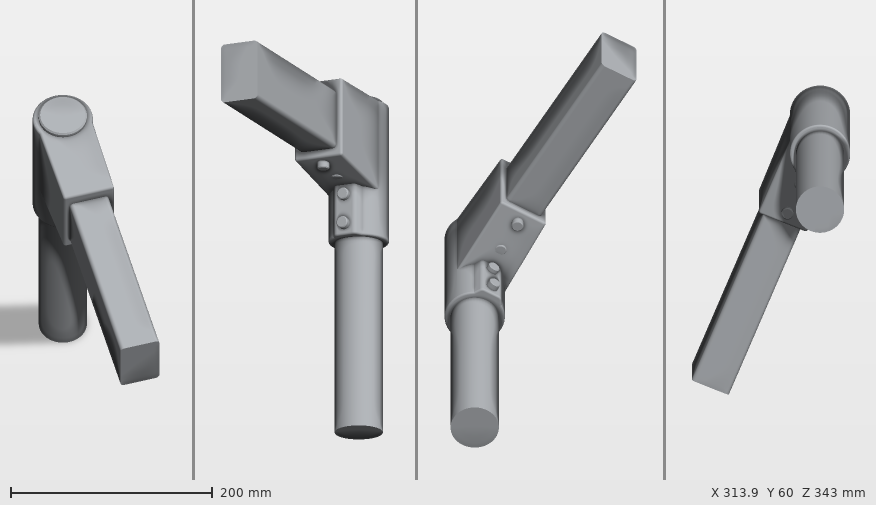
import cadquery as cq
import math

post_diameter = 48
cap_top_diameter = 45
cap_height = 5
total_height = 343
post_height = total_height - cap_height

arm_length = 250
arm_depth = 60
arm_width = 40
arm_corner_radius = 4
arm_end_x = 283.9
arm_start_x = arm_end_x - arm_length
arm_bottom_z = 266
arm_center_z = arm_bottom_z + arm_depth / 2

sleeve_diameter = 60
sleeve_height = 142
sleeve_radius = sleeve_diameter / 2
bracket_top_z = post_height
bracket_bottom_z = bracket_top_z - sleeve_height
bracket_edge_radius = 2.5
sleeve_bottom_radius = 2
block_end_x = 96.7
block_end_half_width = 26
block_side_angle = 0.9
block_axis_half_width = block_end_half_width + block_end_x * math.tan(math.radians(block_side_angle))
block_end_bottom_z = 258.3
block_bottom_angle = 9.5
block_axis_bottom_z = block_end_bottom_z - block_end_x * math.tan(math.radians(block_bottom_angle))
pad_root_x = 25.6
pad_root_half_width = math.sqrt(sleeve_radius**2 - pad_root_x**2)
pad_face_x = 33.7
pad_side_angle = 30
pad_face_half_width = pad_root_half_width - (pad_face_x - pad_root_x) * math.tan(math.radians(pad_side_angle))
pad_edge_radius = 5
pad_top_z = 252

screw_diameter = 12
screw_tip_diameter = 10.11
screw_chamfer = (screw_diameter - screw_tip_diameter) / 2
arm_screw_length = 16
post_screws = [(207.5, 16.8), (237.5, 15.5)]
arm_screw_xs = [51, 84.2]


def make_sleeve():
    return cq.Workplane("XY", origin=(0, 0, bracket_bottom_z)).circle(sleeve_radius).extrude(sleeve_height)


def make_block():
    """Side block: tapered in plan, with a bottom that rises towards the arm."""
    plan = (
        cq.Workplane("XY", origin=(0, 0, bracket_bottom_z))
        .polyline([
            (0, -block_axis_half_width),
            (block_end_x, -block_end_half_width),
            (block_end_x, block_end_half_width),
            (0, block_axis_half_width),
        ])
        .close()
        .extrude(sleeve_height)
    )
    profile = (
        cq.Workplane("XZ")
        .polyline([
            (0, block_axis_bottom_z),
            (block_end_x, block_end_bottom_z),
            (block_end_x, bracket_top_z),
            (0, bracket_top_z),
        ])
        .close()
        .extrude(sleeve_radius, both=True)
    )
    block = plan.intersect(profile)
    upright_end_edges = block.edges("|Z and >X")
    bottom_edges = block.faces("<Z").edges("not <X")
    return block.newObject(upright_end_edges.vals() + bottom_edges.vals()).fillet(bracket_edge_radius)


def make_pad():
    """Clamping pad on the sleeve below the block, narrowing towards its face."""
    return (
        cq.Workplane("XY", origin=(0, 0, bracket_bottom_z))
        .polyline([
            (0, -pad_root_half_width),
            (pad_root_x, -pad_root_half_width),
            (pad_face_x, -pad_face_half_width),
            (pad_face_x, pad_face_half_width),
            (pad_root_x, pad_root_half_width),
            (0, pad_root_half_width),
        ])
        .close()
        .extrude(pad_top_z - bracket_bottom_z)
        .edges("|Z and >X")
        .fillet(pad_edge_radius)
    )


def make_screw(length):
    """Set screw along +Z from the origin, chamfered at its outer end."""
    return cq.Workplane("XY").circle(screw_diameter / 2).extrude(length).faces(">Z").chamfer(screw_chamfer)


post = cq.Workplane("XY").circle(post_diameter / 2).extrude(post_height)

cap = (
    cq.Workplane("XY", origin=(0, 0, post_height))
    .circle(post_diameter / 2)
    .extrude(cap_height)
    .faces(">Z")
    .chamfer((post_diameter - cap_top_diameter) / 2)
)

arm = (
    cq.Workplane("YZ", origin=(arm_start_x, 0, arm_center_z))
    .rect(arm_width, arm_depth)
    .extrude(arm_length)
    .edges("|X")
    .fillet(arm_corner_radius)
)

screws = []
for height, length in post_screws:
    screw = make_screw(length).rotate((0, 0, 0), (0, 1, 0), 90)
    screws.append(screw.translate((post_diameter / 2, 0, height)))
for x in arm_screw_xs:
    screw = make_screw(arm_screw_length).rotate((0, 0, 0), (1, 0, 0), 180)
    screws.append(screw.translate((x, 0, arm_bottom_z)))

bracket = make_sleeve().union(make_block()).union(make_pad())
bracket = bracket.faces(">Z").edges().fillet(bracket_edge_radius)
bracket = bracket.faces("<Z").edges().fillet(sleeve_bottom_radius)
for body in [post, arm, *screws]:
    bracket = bracket.cut(body)

result = cq.Compound.makeCompound([
    bracket.val(),
    post.val(),
    cap.val(),
    arm.val(),
    *[screw.val() for screw in screws],
])